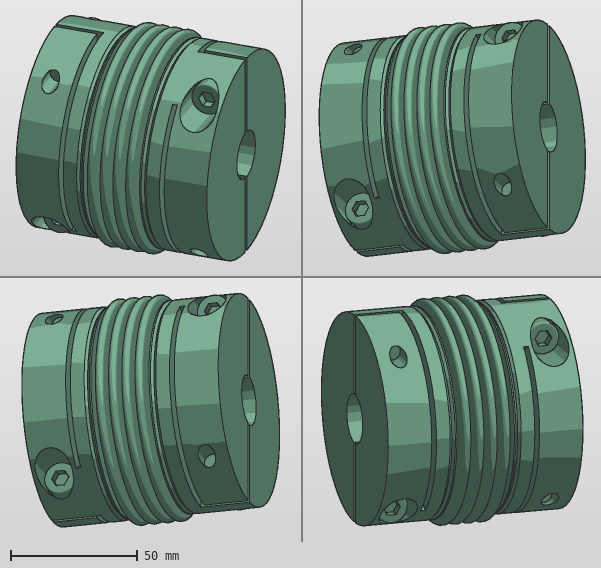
import cadquery as cq


length = 81.0
bellows_radius = 45.0
hub_radius = 42.5
bore_radius = 10.0

crown_count = 4
bellows_length = 23.9
trough_radius = 1.1
trough_bottom_radius = 33.4
pitch = (bellows_length - 2 * trough_radius) / crown_count
crown_radius = pitch / 2 - trough_radius

rim_width = 0.6
groove_depth = 1.1

cut_width = 2.0
slit_inner_x = 20.4
slit_cutter_radius = 50.0
slit_cutter_z = 13.8

screw_x = 31.5
screw_z = 31.95
counterbore_radius = 7.5
counterbore_floor_y = 11.8
shank_radius = 4.0
head_radius = 6.6
head_height = 7.8
head_fillet = 0.7
socket_across_flats = 6.0
socket_depth = 4.0
socket_turn = 30.0
thread_hole_radius = 3.4
thread_hole_floor_y = 19.8


def revolved_body():
    """Hubs, rims, grooves and bellows as one profile turned about X."""
    half_length = length / 2
    half_bellows = bellows_length / 2
    rim_end = half_bellows + rim_width
    groove_middle = rim_end + groove_depth
    groove_end = groove_middle + groove_depth
    groove_bottom = hub_radius - groove_depth
    trough_center = trough_bottom_radius + trough_radius
    crown_center = bellows_radius - crown_radius

    profile = (
        cq.Workplane("XY")
        .moveTo(-half_length, bore_radius)
        .lineTo(-half_length, hub_radius)
        .lineTo(-groove_end, hub_radius)
        .lineTo(-groove_middle, groove_bottom)
        .lineTo(-rim_end, hub_radius)
        .lineTo(-half_bellows, hub_radius)
        .lineTo(-half_bellows, trough_center)
    )
    x = -half_bellows
    for _ in range(crown_count):
        trough_end = x + 2 * trough_radius
        crown_end = trough_end + 2 * crown_radius
        profile = (
            profile
            .threePointArc((x + trough_radius, trough_bottom_radius), (trough_end, trough_center))
            .lineTo(trough_end, crown_center)
            .threePointArc((trough_end + crown_radius, bellows_radius), (crown_end, crown_center))
            .lineTo(crown_end, trough_center)
        )
        x = crown_end
    profile = (
        profile
        .threePointArc((x + trough_radius, trough_bottom_radius), (half_bellows, trough_center))
        .lineTo(half_bellows, hub_radius)
        .lineTo(rim_end, hub_radius)
        .lineTo(groove_middle, groove_bottom)
        .lineTo(groove_end, hub_radius)
        .lineTo(half_length, hub_radius)
        .lineTo(half_length, bore_radius)
        .close()
    )
    return profile.revolve(360, (0, 0, 0), (1, 0, 0))


def cylinder_along_y(radius, y_start, y_end):
    """Cylinder on the axis of the -X, -Y screw."""
    return (
        cq.Workplane("XZ", origin=(-screw_x, y_start, -screw_z))
        .circle(radius)
        .extrude(y_start - y_end)
    )


def split():
    """Gap through the axis that parts the -X hub into two clamp jaws."""
    return (
        cq.Workplane("XY")
        .box(length / 2 - slit_inner_x, cut_width, 2 * hub_radius, centered=(False, True, True))
        .translate((-length / 2, 0, 0))
    )


def jaw_slit():
    """Cross slit that frees the -Y jaw of the -X hub: a round end, then straight up and out."""
    wall_y = cut_width / 2
    cutter_y = wall_y - slit_cutter_radius
    plane = cq.Workplane("YZ", origin=(-slit_inner_x - cut_width, 0, 0))
    round_end = plane.center(cutter_y, slit_cutter_z).circle(slit_cutter_radius).extrude(cut_width)
    straight = (
        plane.moveTo(cutter_y, slit_cutter_z)
        .rect(slit_cutter_radius, hub_radius, centered=False)
        .extrude(cut_width)
    )
    return round_end.union(straight)


def screw_holes():
    """Counterbore in the -Y jaw and the thread end opening in the +Y jaw."""
    counterbore = cylinder_along_y(counterbore_radius, -hub_radius, -counterbore_floor_y)
    thread_hole = cylinder_along_y(thread_hole_radius, thread_hole_floor_y, hub_radius)
    return counterbore.union(thread_hole)


def screw():
    """Socket head screw seated on the counterbore floor and running into the +Y jaw."""
    head_top_y = -counterbore_floor_y - head_height
    head = cylinder_along_y(head_radius, head_top_y, -counterbore_floor_y)
    head = head.faces("<Y").edges().fillet(head_fillet)
    socket = (
        cq.Workplane("XZ", origin=(-screw_x, head_top_y, -screw_z))
        .transformed(rotate=(0, 0, socket_turn))
        .polygon(6, socket_across_flats, circumscribed=True)
        .extrude(-socket_depth)
    )
    shank = cylinder_along_y(shank_radius, -counterbore_floor_y, thread_hole_floor_y)
    return head.cut(socket).union(shank)


def both_jaws(shape):
    """The shape and its copy turned half a turn about X."""
    return shape.union(shape.rotate((0, 0, 0), (1, 0, 0), 180))


def both_hubs(shape):
    """The shape and its copy turned half a turn about Y."""
    return shape.union(shape.rotate((0, 0, 0), (0, 1, 0), 180))


hub_cuts = both_jaws(jaw_slit().union(screw_holes())).union(split())
hub_screws = both_jaws(screw())
result = revolved_body().cut(both_hubs(hub_cuts)).union(both_hubs(hub_screws))